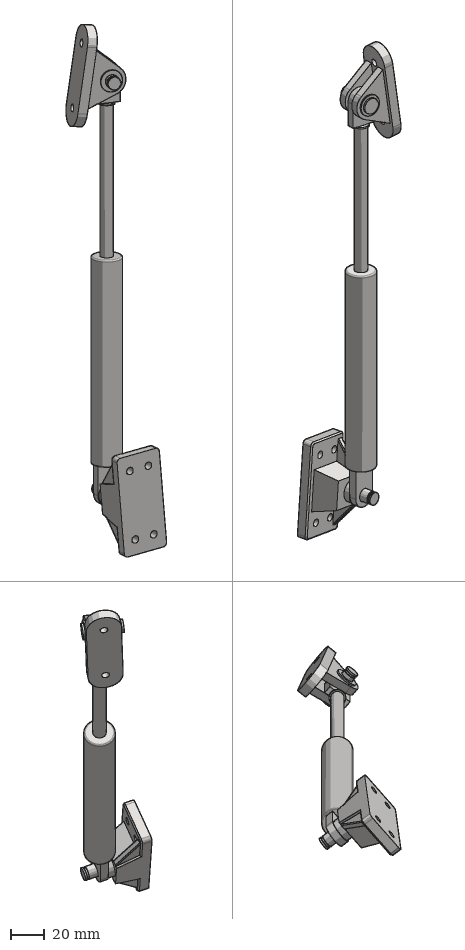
import cadquery as cq
import math

pin_span = 257.2
upper_turn = -12.5
upper_tilt = -8.3
lower_tilt = 5.0

tube_diameter = 18.7
tube_bottom = 18.4
tube_length = 128.0
tube_top = tube_bottom + tube_length
tube_top_round = 0.9
tube_bottom_round = 0.6
rod_diameter = 8.0
eye_width = 15.2
eye_thickness = 5.0
eye_hole_diameter = 8.3
rod_eye_length = 15.4
rod_collar_diameter = 10.0
rod_collar_height = 1.0

pin_diameter = 8.0
groove_diameter = 6.8
groove_width = 1.2
pin_tip_length = 1.3
lower_pin_overhang = 8.0
upper_pin_overhang = 5.0
head_diameter = 10.0
head_height = 1.2

lower_plate_height = 62.2
lower_plate_width = 29.4
lower_plate_centre = 6.5
lower_plate_front = 22.2
lower_plate_back = 29.1
plate_corner_round = 2.5
plate_edge_chamfer = 0.9
boss_face = 7.2
boss_base_height = 27.2
boss_top_height = 18.8
boss_base_side = 18.0
boss_top_side = 12.9
lower_collar_diameter = 14.0
gusset_thickness = 4.0
gusset_top_height = 20.4
gusset_chamfer = 0.6
gusset_recess = 1.4
gusset_base_height = 55.0
lower_hole_diameter = 4.5
lower_hole_pitch = 12.8
lower_hole_height = 43.2

upper_plate_length = 62.0
upper_plate_width = 21.0
upper_plate_thickness = 6.0
upper_plate_back = -12.8
upper_hole_diameter = 4.5
upper_hole_spacing = 40.0
ear_radius = 9.2
ear_base_half = 18.5
ear_thickness = 5.0
ear_collar_diameter = 13.5
ear_collar_height = 1.0
ear_gap = 6.4
ear_outer = ear_gap / 2 + ear_thickness + ear_collar_height


def x_cylinder(diameter, start, end):
    """Cylinder along X from start to end, centred on the pin axis."""
    return cq.Workplane("YZ").workplane(offset=start).circle(diameter / 2).extrude(end - start)


def eye_plate(length):
    """Flat eye hanging from the pin axis: round below, straight up to length."""
    half = eye_width / 2
    return (
        cq.Workplane("YZ")
        .workplane(offset=-eye_thickness / 2)
        .moveTo(-half, length)
        .lineTo(-half, 0)
        .threePointArc((0, -half), (half, 0))
        .lineTo(half, length)
        .close()
        .extrude(eye_thickness)
        .cut(x_cylinder(eye_hole_diameter, -eye_thickness, eye_thickness))
    )


def grooved_shaft(inner, outer):
    """Pin shaft from inner to outer along X, with a clip groove near the outer end."""
    direction = 1 if outer > inner else -1
    groove_end = outer - direction * pin_tip_length
    groove_start = groove_end - direction * groove_width
    return (
        x_cylinder(pin_diameter, inner, groove_start)
        .union(x_cylinder(groove_diameter, groove_start, groove_end))
        .union(x_cylinder(pin_diameter, groove_end, outer))
    )


def place_upper(body, tilt=0.0):
    """Move a body built around the origin to the upper pin."""
    return (
        body.rotate((0, 0, 0), (1, 0, 0), tilt)
        .rotate((0, 0, 0), (0, 0, 1), upper_turn)
        .translate((0, 0, pin_span))
    )


tube = (
    cq.Workplane("XY")
    .workplane(offset=tube_bottom)
    .circle(tube_diameter / 2)
    .extrude(tube_length)
    .faces(">Z")
    .edges()
    .fillet(tube_top_round)
    .faces("<Z")
    .edges()
    .fillet(tube_bottom_round)
)
cylinder = tube.union(eye_plate(tube_bottom))

rod_eye = eye_plate(rod_eye_length).rotate((0, 0, 0), (1, 0, 0), 180)
rod_shoulder = pin_span - rod_eye_length
rod = (
    cq.Workplane("XY")
    .workplane(offset=tube_top)
    .circle(rod_diameter / 2)
    .extrude(rod_shoulder - tube_top)
    .faces(">Z")
    .workplane()
    .circle(rod_collar_diameter / 2)
    .extrude(-rod_collar_height)
    .union(place_upper(rod_eye))
)

lower_pin = grooved_shaft(boss_face, -eye_thickness / 2 - lower_pin_overhang)

upper_pin = place_upper(
    grooved_shaft(-ear_outer, ear_outer + upper_pin_overhang).union(
        x_cylinder(head_diameter, -ear_outer - head_height, -ear_outer)
    )
)


plate_side = lower_plate_centre - lower_plate_width / 2


def lower_plate():
    """Screw plate with rounded corners and a chamfered front rim."""
    return (
        cq.Workplane("YZ")
        .workplane(offset=lower_plate_front)
        .center(lower_plate_centre, 0)
        .rect(lower_plate_width, lower_plate_height)
        .extrude(lower_plate_back - lower_plate_front)
        .edges("|X")
        .fillet(plate_corner_round)
        .faces("<X")
        .chamfer(plate_edge_chamfer)
    )


def lower_boss():
    """Boss tapering on three sides, flush with the plate on the fourth."""
    root = lower_plate_front + plate_edge_chamfer
    root_width = boss_base_side - plate_side
    face_width = boss_top_side - plate_side
    return (
        cq.Workplane("YZ")
        .workplane(offset=boss_face)
        .center(plate_side + face_width / 2, 0)
        .rect(face_width, boss_top_height)
        .workplane(offset=root - boss_face)
        .center((root_width - face_width) / 2, 0)
        .rect(root_width, boss_base_height)
        .loft(ruled=True)
    )


def gussets():
    """Triangular webs above and below the boss, made as one trapezoid."""
    top_half = gusset_top_height / 2
    base_half = gusset_base_height / 2
    return (
        cq.Workplane("XZ", origin=(0, plate_side + gusset_recess, 0))
        .moveTo(boss_face, -top_half)
        .lineTo(boss_face, top_half)
        .lineTo(lower_plate_front, base_half)
        .lineTo(lower_plate_front, -base_half)
        .close()
        .extrude(-gusset_thickness)
        .edges("<Y or >Y")
        .edges("not(|Z)")
        .chamfer(gusset_chamfer)
    )


lower_bracket = (
    lower_plate()
    .union(lower_boss())
    .union(gussets())
    .union(x_cylinder(lower_collar_diameter, eye_thickness / 2, boss_face))
    .cut(x_cylinder(pin_diameter, eye_thickness / 2, boss_face))
    .cut(
        cq.Workplane("YZ")
        .center(lower_plate_centre, 0)
        .rect(lower_hole_pitch, lower_hole_height, forConstruction=True)
        .vertices()
        .circle(lower_hole_diameter / 2)
        .extrude(lower_plate_back)
    )
    .rotate((0, 0, 0), (1, 0, 0), lower_tilt)
)


def ear(side):
    """Ear with straight flanks tangent to the round end, and a collar on its outer face."""
    reach = math.hypot(upper_plate_back, ear_base_half)
    base_angle = math.atan2(ear_base_half, upper_plate_back)
    tangent_angle = base_angle - math.acos(ear_radius / reach)
    tangent_y = ear_radius * math.cos(tangent_angle)
    tangent_z = ear_radius * math.sin(tangent_angle)
    return (
        cq.Workplane("YZ")
        .workplane(offset=side * ear_gap / 2)
        .moveTo(upper_plate_back, ear_base_half)
        .lineTo(tangent_y, tangent_z)
        .threePointArc((ear_radius, 0), (tangent_y, -tangent_z))
        .lineTo(upper_plate_back, -ear_base_half)
        .close()
        .extrude(side * ear_thickness)
        .union(x_cylinder(ear_collar_diameter, side * ear_gap / 2, side * ear_outer))
        .cut(x_cylinder(pin_diameter, -ear_outer, ear_outer))
    )


upper_plate = (
    cq.Workplane("XZ", origin=(0, upper_plate_back, 0))
    .slot2D(upper_plate_length, upper_plate_width, 90)
    .pushPoints([(0, upper_hole_spacing / 2), (0, -upper_hole_spacing / 2)])
    .circle(upper_hole_diameter / 2)
    .extrude(upper_plate_thickness)
)
upper_bracket = upper_plate
for side in (-1, 1):
    upper_bracket = upper_bracket.union(ear(side))
upper_bracket = place_upper(upper_bracket, upper_tilt)

result = cq.Compound.makeCompound(
    [
        cylinder.solids().val(),
        rod.solids().val(),
        lower_pin.solids().val(),
        upper_pin.solids().val(),
        lower_bracket.solids().val(),
        upper_bracket.solids().val(),
    ]
)